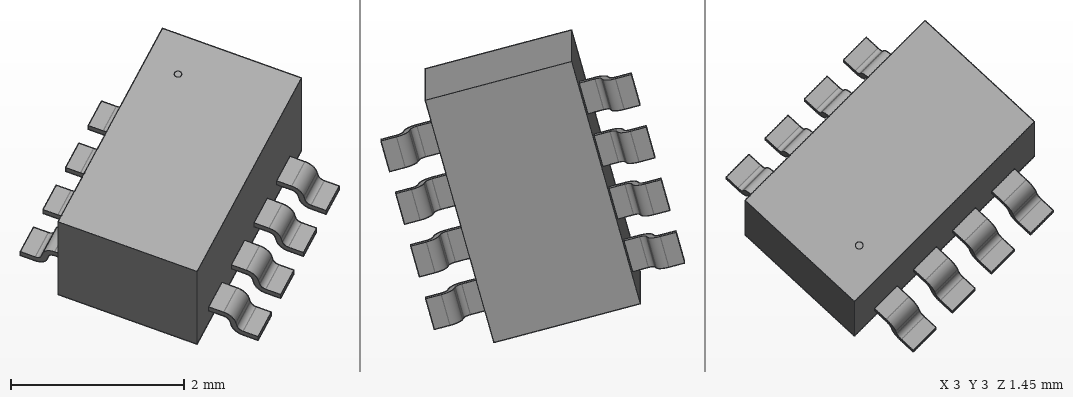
import cadquery as cq
import math

overall_width = 3.0

housing_width = 1.755
housing_length = 3.0
housing_height = 1.45

leads_per_side = 4
lead_pitch = 0.65
lead_width = 0.38
lead_thickness = 0.078
lead_top_height = 0.318
foot_length = 0.19
bend_angle = 76.0
foot_bend_inner_radius = 0.078
shoulder_bend_outer_radius = 0.16

marker_diameter = 0.087
marker_depth = 0.03
marker_x = -0.45
marker_y = 0.975


def make_marker():
    """Pin 1 disc whose upper face lies in the top face of the housing."""
    return (
        cq.Workplane("XY", origin=(marker_x, marker_y, housing_height - marker_depth))
        .circle(marker_diameter / 2)
        .extrude(marker_depth)
    )


def make_housing():
    """Plain block standing on Z = 0, with a recess that holds the marker."""
    block = cq.Workplane("XY").box(
        housing_width, housing_length, housing_height, centered=(True, True, False)
    )
    return block.cut(make_marker())


def on_arc(center, radius, angle):
    """Point on a circle in the XZ plane, angle in degrees from +X toward +Z."""
    turn = math.radians(angle)
    return (center[0] + radius * math.cos(turn), center[1] + radius * math.sin(turn))


def make_left_lead(y_center):
    """Gull-wing lead running from its foot tip up to the left face of the housing."""
    tip_x = -overall_width / 2
    root_x = -housing_width / 2
    foot_bend_outer_radius = foot_bend_inner_radius + lead_thickness
    shoulder_bend_inner_radius = shoulder_bend_outer_radius - lead_thickness
    foot_bend_center = (tip_x + foot_length, foot_bend_outer_radius)

    bend = math.radians(bend_angle)
    radius_sum = foot_bend_inner_radius + shoulder_bend_outer_radius
    web_rise = lead_top_height - lead_thickness - radius_sum * (1 - math.cos(bend))
    shoulder_bend_center = (
        foot_bend_center[0] + radius_sum * math.sin(bend) + web_rise / math.tan(bend),
        lead_top_height - shoulder_bend_outer_radius,
    )

    foot_flat, foot_middle, foot_web = -90, -90 + bend_angle / 2, -90 + bend_angle
    shoulder_flat, shoulder_middle, shoulder_web = 90, 90 + bend_angle / 2, 90 + bend_angle

    def foot_point(radius, angle):
        return on_arc(foot_bend_center, radius, angle)

    def shoulder_point(radius, angle):
        return on_arc(shoulder_bend_center, radius, angle)

    profile = (
        cq.Workplane("XZ", origin=(0, y_center + lead_width / 2, 0))
        .moveTo(tip_x, 0)
        .lineTo(*foot_point(foot_bend_outer_radius, foot_flat))
        .threePointArc(
            foot_point(foot_bend_outer_radius, foot_middle),
            foot_point(foot_bend_outer_radius, foot_web),
        )
        .lineTo(*shoulder_point(shoulder_bend_inner_radius, shoulder_web))
        .threePointArc(
            shoulder_point(shoulder_bend_inner_radius, shoulder_middle),
            shoulder_point(shoulder_bend_inner_radius, shoulder_flat),
        )
        .lineTo(root_x, lead_top_height - lead_thickness)
        .lineTo(root_x, lead_top_height)
        .lineTo(*shoulder_point(shoulder_bend_outer_radius, shoulder_flat))
        .threePointArc(
            shoulder_point(shoulder_bend_outer_radius, shoulder_middle),
            shoulder_point(shoulder_bend_outer_radius, shoulder_web),
        )
        .lineTo(*foot_point(foot_bend_inner_radius, foot_web))
        .threePointArc(
            foot_point(foot_bend_inner_radius, foot_middle),
            foot_point(foot_bend_inner_radius, foot_flat),
        )
        .lineTo(tip_x, lead_thickness)
        .close()
    )
    return profile.extrude(lead_width)


housing = make_housing()
marker = make_marker()

leads = []
for index in range(leads_per_side):
    lead_y = (index - (leads_per_side - 1) / 2) * lead_pitch
    left_lead = make_left_lead(lead_y)
    leads.append(left_lead)
    leads.append(left_lead.mirror("YZ"))

result = cq.Compound.makeCompound([housing.val(), marker.val(), *[lead.val() for lead in leads]])